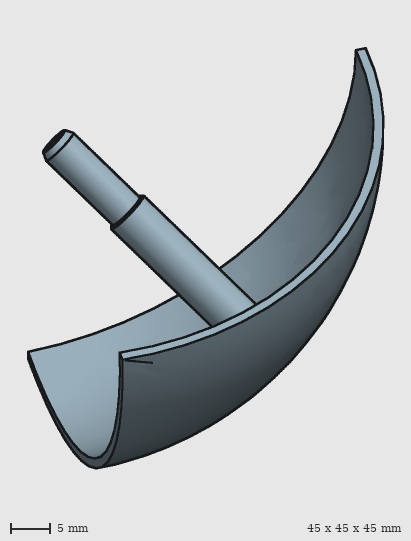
import cadquery as cq
import math

outer_reach = 45.0
corner_offset = 2.5
wall = 1.3

pin_direction = cq.Vector(1, 1, -1)
pin_radius = 6.0 / 2
tip_radius = 5.0 / 2
hole_radius = 2.5 / 2
pin_length = 40.0
tip_length = 13.0
tip_chamfer_length = 1.0
tip_chamfer_width = 0.5
shoulder_chamfer = 0.2
hole_depth = 10.0


def reach_at_angle(reach, angle):
    """Distance from the origin to a dome surface, at an angle from the X axis."""
    centre_distance = corner_offset * math.sqrt(2)
    centre_angle = math.radians(45) - angle
    along = centre_distance * math.cos(centre_angle)
    across = centre_distance * math.sin(centre_angle)
    return along + math.sqrt((reach - corner_offset) ** 2 - across**2)


def make_dome(reach):
    """Solid half dome on the X side, bounded by one arc from pole to rim."""
    arc_radius = reach - corner_offset
    pole_reach = reach_at_angle(reach, 0)
    rim_radius = reach_at_angle(reach, math.pi / 2)
    arc_middle = corner_offset + arc_radius * math.sqrt(0.5)
    return (
        cq.Workplane("XY")
        .moveTo(0, 0)
        .lineTo(pole_reach, 0)
        .threePointArc((arc_middle, arc_middle), (0, rim_radius))
        .close()
        .revolve(360, (0, 0, 0), (1, 0, 0))
    )


def make_shell():
    """Dome wall kept only where Y > 0 and Z < 0."""
    quadrant = cq.Workplane("XY").box(outer_reach, outer_reach, outer_reach, centered=False)
    quadrant = quadrant.translate((0, 0, -outer_reach))
    return quadrant.intersect(make_dome(outer_reach)).cut(make_dome(outer_reach - wall))


def make_pin():
    """Stepped pin with a chamfered tip, a chamfered shoulder and a blind hole in its free end."""
    diagonal_angle = math.acos(1 / math.sqrt(3))
    inner_surface = reach_at_angle(outer_reach - wall, diagonal_angle)
    tip_start = inner_surface - pin_length
    shoulder = tip_start + tip_length
    hole_floor = tip_start + hole_depth
    pin_end = inner_surface + wall / 2

    plane_normal = cq.Vector(1, -1, 0)
    plane = cq.Plane(
        origin=(0, 0, 0),
        xDir=pin_direction.cross(plane_normal),
        normal=plane_normal,
    )
    return (
        cq.Workplane(plane)
        .moveTo(0, hole_floor)
        .lineTo(hole_radius, hole_floor)
        .lineTo(hole_radius, tip_start)
        .lineTo(tip_radius - tip_chamfer_width, tip_start)
        .lineTo(tip_radius, tip_start + tip_chamfer_length)
        .lineTo(tip_radius, shoulder)
        .lineTo(pin_radius - shoulder_chamfer, shoulder)
        .lineTo(pin_radius, shoulder + shoulder_chamfer)
        .lineTo(pin_radius, pin_end)
        .lineTo(0, pin_end)
        .close()
        .revolve(360, (0, 0, 0), (0, 1, 0))
    )


result = make_shell().union(make_pin())